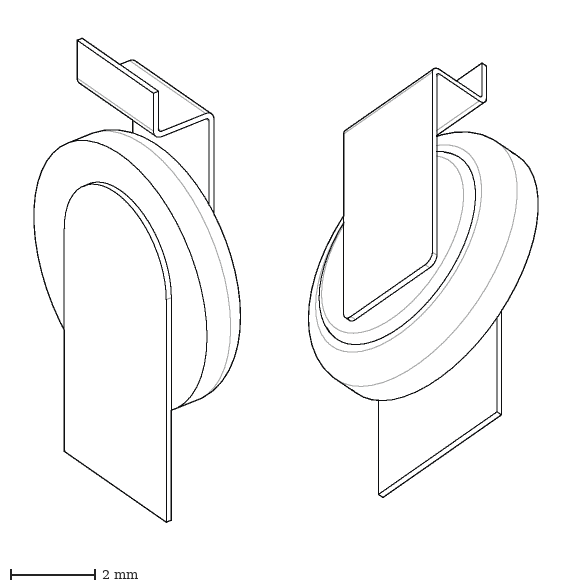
import cadquery as cq

sheet = 0.15
bend_inner = 0.09
bend_outer = bend_inner + sheet

cell_radius = 3.399
can_depth = 1.3
can_edge_radius = 0.6
boss_radius = 2.6
boss_height = 0.2
cell_depth = can_depth + boss_height

tab_width = 4.0
tab_arc_height = 0.4
tab_bottom = -5.8

strip_width = 3.0
strip_bottom = -1.6
strip_corner_radius = 0.25
total_height = 11.7
strip_top = tab_bottom + total_height
flange_height = 1.3


def make_cell():
    """Revolve the half profile of the can and its rear boss about Y."""
    return (
        cq.Workplane("XY")
        .lineTo(cell_radius, 0)
        .lineTo(cell_radius, can_depth - can_edge_radius)
        .radiusArc((cell_radius - can_edge_radius, can_depth), -can_edge_radius)
        .lineTo(boss_radius, can_depth)
        .radiusArc((boss_radius - boss_height, cell_depth), -boss_height)
        .lineTo(0, cell_depth)
        .close()
        .revolve(360, (0, 0, 0), (0, 1, 0))
    )


def make_front_terminal():
    """Extrude the round-ended tab forward from the front face of the cell."""
    half_width = tab_width / 2
    return (
        cq.Workplane("XZ")
        .moveTo(-half_width, tab_bottom)
        .lineTo(half_width, tab_bottom)
        .lineTo(half_width, tab_arc_height)
        .threePointArc((0, tab_arc_height + half_width), (-half_width, tab_arc_height))
        .close()
        .extrude(sheet)
    )


def make_rear_terminal():
    """Extrude the bent strip section along X, then round its lower corners."""
    front = -sheet
    back = cell_depth + sheet
    shelf_bottom = strip_top - flange_height
    shelf_top = shelf_bottom + sheet
    strip = (
        cq.Workplane("YZ")
        .moveTo(cell_depth, strip_bottom)
        .lineTo(back, strip_bottom)
        .lineTo(back, shelf_top - bend_outer)
        .radiusArc((back - bend_outer, shelf_top), -bend_outer)
        .lineTo(bend_inner, shelf_top)
        .radiusArc((0, shelf_top + bend_inner), bend_inner)
        .lineTo(0, strip_top)
        .lineTo(front, strip_top)
        .lineTo(front, shelf_bottom + bend_outer)
        .radiusArc((front + bend_outer, shelf_bottom), -bend_outer)
        .lineTo(cell_depth - bend_inner, shelf_bottom)
        .radiusArc((cell_depth, shelf_bottom - bend_inner), bend_inner)
        .close()
        .extrude(strip_width / 2, both=True)
    )
    return strip.faces("<Z").edges("|Y").fillet(strip_corner_radius)


cell = make_cell()
front_terminal = make_front_terminal()
rear_terminal = make_rear_terminal()

result = cq.Compound.makeCompound([cell.val(), front_terminal.val(), rear_terminal.val()])